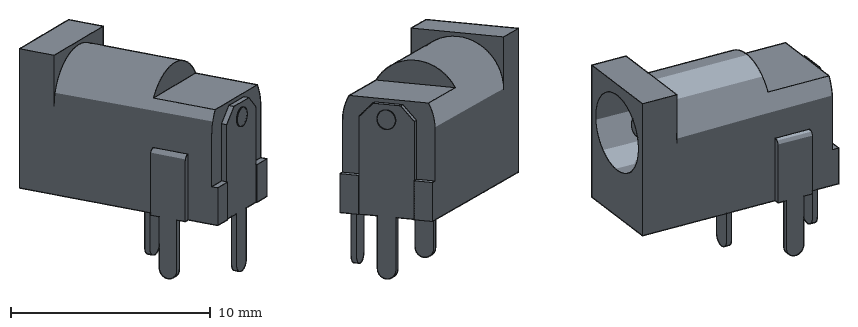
import cadquery as cq

length = 11.4
width = 5.0
flange_length = 2.0
flange_height = 7.4
back_x = 11.05
foot_height = 2.01
axis_y = width / 2
axis_z = 4.7
barrel_radius = width / 2
flat_start_x = 7.5
flat_z = 5.98

socket_diameter = 4.2
socket_depth = 6.5
contact_diameter = 1.3
contact_tip_x = 1.0
contact_tip_round = 0.48

socket_floor_z = axis_z - socket_diameter / 2
leaf_start_x = 1.08
leaf_crest_x = 4.33
leaf_crest_z = 3.03

sheet = 0.3
leg_width = 1.0
leg_length = 3.2
inner_leg_x = 6.06
back_plate_width = 3.0
back_plate_top_z = 5.78
back_plate_chamfer = 0.74
rivet_diameter = leg_width
rivet_z = 5.0
lug_center_x = 8.7
lug_width = 2.0
lug_height = 3.5
lug_edge_round = 0.27


def box(x0, x1, y0, y1, z0, z1):
    """Box between two opposite corners."""
    return cq.Workplane("XY").box(x1 - x0, y1 - y0, z1 - z0, centered=False).translate((x0, y0, z0))


def cylinder_x(diameter, x0, x1, z):
    """Cylinder along X on the middle plane of the housing."""
    return cq.Workplane("YZ", origin=(x0, axis_y, z)).circle(diameter / 2).extrude(x1 - x0)


def leg(plane_name, origin):
    """Flat solder leg hanging below the housing, with a fully rounded tip."""
    radius = leg_width / 2
    shoulder = radius - leg_length
    return (
        cq.Workplane(plane_name, origin=origin)
        .moveTo(-radius, 0)
        .lineTo(-radius, shoulder)
        .threePointArc((0, -leg_length), (radius, shoulder))
        .lineTo(radius, 0)
        .close()
        .extrude(sheet)
    )


def make_housing():
    flange = box(0, flange_length, 0, width, 0, flange_height)
    base = box(0, back_x, 0, width, 0, axis_z)
    barrel = cylinder_x(2 * barrel_radius, 0, back_x, axis_z)
    flat_cut = box(flat_start_x, length, 0, width, flat_z, flange_height)
    foot = box(back_x, length, 0, width, 0, foot_height)
    foot_slot = box(
        back_x, length, axis_y - back_plate_width / 2, axis_y + back_plate_width / 2, 0, foot_height
    )
    socket = cylinder_x(socket_diameter, 0, socket_depth, axis_z)
    return base.union(barrel).cut(flat_cut).union(flange).union(foot).cut(foot_slot).cut(socket)


def make_centre_contact():
    pin = cylinder_x(contact_diameter, contact_tip_x, back_x, axis_z)
    return pin.faces("<X").edges().fillet(contact_tip_round)


def make_spring_leaf():
    return (
        cq.Workplane("XZ", origin=(0, axis_y, 0))
        .moveTo(leaf_start_x, socket_floor_z)
        .lineTo(leaf_crest_x, leaf_crest_z)
        .lineTo(socket_depth, leaf_crest_z)
        .lineTo(socket_depth, socket_floor_z)
        .close()
        .extrude(leg_width / 2, both=True)
    )


def make_back_terminal():
    plate = box(
        back_x, back_x + sheet,
        axis_y - back_plate_width / 2, axis_y + back_plate_width / 2,
        0, back_plate_top_z,
    )
    plate = plate.faces(">Z").edges("|X").chamfer(back_plate_chamfer)
    rivet = cylinder_x(rivet_diameter, back_x, length, rivet_z)
    return plate.union(rivet).union(leg("YZ", (back_x, axis_y, 0)))


def make_side_terminal():
    lug = box(lug_center_x - lug_width / 2, lug_center_x + lug_width / 2, -sheet, 0, 0, lug_height)
    lug = lug.edges(">Z and <Y").fillet(lug_edge_round)
    return lug.union(leg("XZ", (lug_center_x, 0, 0)))


result = (
    make_housing()
    .union(make_centre_contact())
    .union(make_spring_leaf())
    .union(leg("YZ", (inner_leg_x, axis_y, 0)))
    .union(make_back_terminal())
    .union(make_side_terminal())
)